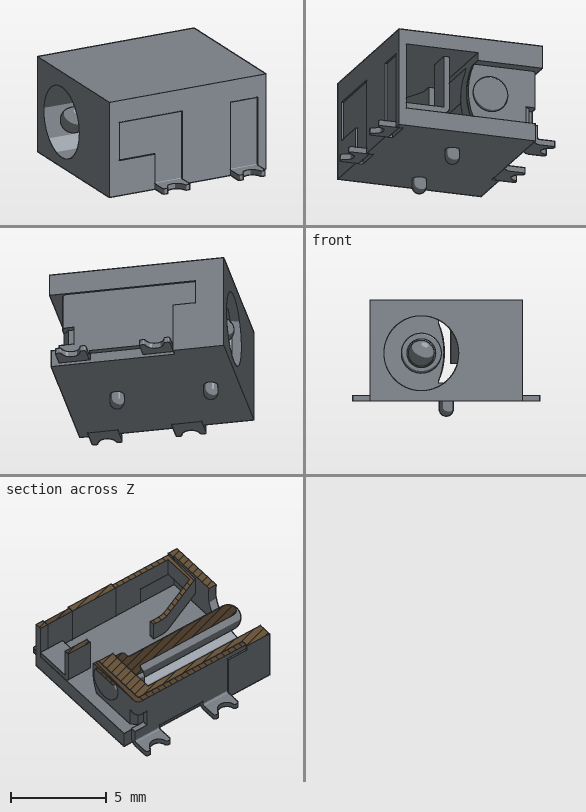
import cadquery as cq
import math

SPAN = 9.8
WIDTH = 8.0
DEPTH = 9.3
HEIGHT = 5.3
HALF = WIDTH / 2

SHEET = 0.3
SETBACK = 0.1
POCKET = SHEET + SETBACK
PLATE_OUT = HALF - SETBACK
PLATE_IN = HALF - POCKET
PROBE = 0.01

BORE_X = -1.3
BORE_Z = 2.51
BORE_RADIUS = 1.96
FRONT_WALL = 0.49
WALL_START = 7.4

FLOOR = 0.96
CEILING = 4.51
ROOF = 4.08
WALL_EDGE_X = -0.4
TONGUE = 0.27

PEG_RADIUS = 0.37
PEG_LENGTH = 0.79
PEG_Y = (1.5, 6.5)

TAB_WIDTH = 1.62
FRONT_TAB_Y = 2.71
REAR_TAB_Y = 7.19
TAB_BITE = 0.5
TAB_ROUND = 0.12
BEND_INNER = 0.09
BEND_OUTER = BEND_INNER + SHEET

SHOULDER_Y = 1.51
SHOULDER_Z = 2.74
BRIDGE_Z = 0.56
REAR_END = REAR_TAB_Y + TAB_WIDTH
ARM_BACK = 8.67
ARM_FRONT = ARM_BACK - SHEET
ARM_BOTTOM = 1.05
ARM_BEND = 0.29
ARM_BULGE = 0.31
CORNER_NOTCH_Y = 8.02
CORNER_NOTCH_TOP = 2.07

PIN_RADIUS = 0.68
PIN_TIP_Y = 0.01
PIN_FLARE = 0.08
COLLAR_RADIUS = 1.05
COLLAR_LENGTH = 0.49
COLLAR_ROUND = 0.15
STEM_RADIUS = 0.49
HEAD_RADIUS = 0.95
HEAD_LENGTH = 0.18
HEAD_ROUND = 0.09

SPRING_BOTTOM = 1.96
SPRING_FRONT = 0.59
SPRING_TURN_X = 1.62
SPRING_TIP_X = 0.24
SPRING_BEND_Y = 3.63
SPRING_TIP_Y = 4.41
SPRING_CURL = 1.57

SWITCH_X = 1.2
SWITCH_START = 7.84
SWITCH_BEND = 0.28


def box(x0, x1, y0, y1, z0, z1):
    """Box between two opposite corners."""
    return cq.Workplane("XY").box(x1 - x0, y1 - y0, z1 - z0, centered=False).translate((x0, y0, z0))


def cylinder_y(radius, y0, y1):
    """Cylinder along Y on the bore axis."""
    plane = cq.Workplane("XZ", origin=(BORE_X, y0, BORE_Z))
    return plane.circle(radius).extrude(y0 - y1)


def bulged_strip(x_left, bulge, y0, y1):
    """Upright strip in an XZ plane whose right end is a shallow arc."""
    middle = (ARM_BOTTOM + ROOF) / 2
    outline = (
        cq.Workplane("XZ", origin=(0, y0, 0))
        .moveTo(x_left, ARM_BOTTOM)
        .lineTo(WALL_EDGE_X, ARM_BOTTOM)
        .threePointArc((WALL_EDGE_X + bulge, middle), (WALL_EDGE_X, ROOF))
        .lineTo(x_left, ROOF)
        .close()
    )
    return outline.extrude(y0 - y1)


def side_leg(y_start, top):
    """Upright leg on the right side, bent outward at the bottom into a forked solder tab."""
    y_end = y_start + TAB_WIDTH
    tip = SPAN / 2
    leg = box(PLATE_IN, PLATE_OUT, y_start, y_end, 0, top)
    tab = box(PLATE_IN, tip, y_start, y_end, 0, SHEET)
    bite = (
        cq.Workplane("XY")
        .center(tip, y_start + TAB_WIDTH / 2)
        .circle(TAB_BITE)
        .extrude(SHEET)
    )
    tab = tab.cut(bite).edges("|Z and >X").fillet(TAB_ROUND)
    leg = leg.union(tab)
    inside = cq.selectors.BoxSelector(
        (PLATE_OUT - PROBE, y_start - PROBE, SHEET - PROBE),
        (PLATE_OUT + PROBE, y_end + PROBE, SHEET + PROBE),
    )
    leg = leg.edges(inside).fillet(BEND_INNER)
    return leg.edges("|Y and <X and <Z").fillet(BEND_OUTER)


def make_housing():
    body = box(-HALF, HALF, 0, DEPTH, 0, HEIGHT)
    body = body.cut(cylinder_y(BORE_RADIUS, 0, WALL_START))
    body = body.cut(make_cavity())
    body = body.cut(box(-PLATE_IN, PLATE_IN, ARM_FRONT, DEPTH, FLOOR, ROOF))

    body = body.cut(cylinder_y(STEM_RADIUS, WALL_START, ARM_FRONT))

    body = body.cut(box(-HALF, -PLATE_IN, SHOULDER_Y, DEPTH, SHOULDER_Z, ROOF))
    body = body.cut(box(-HALF, -PLATE_IN, FRONT_TAB_Y, DEPTH, 0, SHOULDER_Z))

    body = body.cut(box(PLATE_IN, HALF, SPRING_FRONT, FRONT_TAB_Y + TAB_WIDTH, SPRING_BOTTOM, ROOF))
    for y_start in (FRONT_TAB_Y, REAR_TAB_Y):
        body = body.cut(box(PLATE_IN, HALF, y_start, y_start + TAB_WIDTH, 0, ROOF))

    for y in PEG_Y:
        body = body.union(make_peg(y))
    return body


def make_cavity():
    """Room for the right-hand contacts, open to the rear, with the pin wall's tongue left standing."""
    cavity = box(WALL_EDGE_X, PLATE_IN, FRONT_WALL, DEPTH, FLOOR, CEILING)
    return cavity.cut(bulged_strip(-PLATE_IN, TONGUE, WALL_START, ARM_FRONT))


def make_peg(y):
    peg = cq.Workplane("XY").center(0, y).circle(PEG_RADIUS).extrude(-(PEG_LENGTH - PEG_RADIUS))
    dome = cq.Workplane("XY").sphere(PEG_RADIUS).translate((0, y, PEG_RADIUS - PEG_LENGTH))
    return peg.union(dome)


def make_left_terminal():
    outline = cq.Workplane("YZ", origin=(-PLATE_OUT, 0, 0)).polyline([
        (SHOULDER_Y, ROOF),
        (ARM_BACK, ROOF),
        (ARM_BACK, ARM_BOTTOM),
        (REAR_END, ARM_BOTTOM),
        (REAR_END, BRIDGE_Z),
        (FRONT_TAB_Y, BRIDGE_Z),
        (FRONT_TAB_Y, SHOULDER_Z),
        (SHOULDER_Y, SHOULDER_Z),
    ]).close()
    plate = outline.extrude(SHEET)
    arm = bulged_strip(-PLATE_OUT, ARM_BULGE, ARM_FRONT, ARM_BACK)
    body = plate.union(arm)
    bend = cq.selectors.BoxSelector(
        (-PLATE_OUT - PROBE, ARM_BACK - PROBE, ARM_BOTTOM),
        (-PLATE_OUT + PROBE, ARM_BACK + PROBE, ROOF),
    )
    body = body.edges(bend).fillet(ARM_BEND)
    body = body.cut(make_corner_notch())
    body = body.cut(cylinder_y(STEM_RADIUS, ARM_FRONT, ARM_BACK))
    for y_start in (FRONT_TAB_Y, REAR_TAB_Y):
        body = body.union(side_leg(y_start, BRIDGE_Z).mirror("YZ"))
    return body


def make_corner_notch():
    """Window through the arm's bend; its far side is cut at 45 degrees across the arm."""
    return (
        cq.Workplane("XY", origin=(0, 0, ARM_BOTTOM))
        .polyline([
            (-HALF, CORNER_NOTCH_Y),
            (-PLATE_IN, CORNER_NOTCH_Y),
            (-PLATE_IN, ARM_FRONT),
            (-PLATE_IN + SHEET, ARM_BACK),
            (-HALF, ARM_BACK),
        ])
        .close()
        .extrude(CORNER_NOTCH_TOP - ARM_BOTTOM)
    )


def make_pin():
    collar_front = WALL_START - COLLAR_LENGTH
    head_back = ARM_BACK + HEAD_LENGTH
    dome_slant = PIN_RADIUS * math.sqrt(0.5)
    profile = (
        cq.Workplane("XY", origin=(BORE_X, 0, BORE_Z))
        .moveTo(0, PIN_TIP_Y)
        .threePointArc(
            (dome_slant, PIN_TIP_Y + PIN_RADIUS - dome_slant),
            (PIN_RADIUS, PIN_TIP_Y + PIN_RADIUS),
        )
        .lineTo(PIN_RADIUS, collar_front - PIN_FLARE)
        .lineTo(PIN_RADIUS + PIN_FLARE, collar_front)
        .lineTo(COLLAR_RADIUS - COLLAR_ROUND, collar_front)
        .radiusArc((COLLAR_RADIUS, collar_front + COLLAR_ROUND), -COLLAR_ROUND)
        .lineTo(COLLAR_RADIUS, WALL_START)
        .lineTo(STEM_RADIUS, WALL_START)
        .lineTo(STEM_RADIUS, ARM_BACK)
        .lineTo(HEAD_RADIUS, ARM_BACK)
        .lineTo(HEAD_RADIUS, head_back - HEAD_ROUND)
        .radiusArc((HEAD_RADIUS - HEAD_ROUND, head_back), -HEAD_ROUND)
        .lineTo(0, head_back)
        .close()
    )
    return profile.revolve(360, (0, 0, 0), (0, 1, 0))


def make_spring_terminal():
    rail = box(PLATE_IN, PLATE_OUT, SPRING_FRONT, FRONT_TAB_Y + TAB_WIDTH, SPRING_BOTTOM, ROOF)
    strip = (
        cq.Workplane("XY", origin=(0, 0, SPRING_BOTTOM))
        .polyline([
            (PLATE_OUT, SPRING_FRONT),
            (SPRING_TURN_X, SPRING_FRONT),
            (SPRING_TIP_X, SPRING_BEND_Y),
            (SPRING_TIP_X, SPRING_TIP_Y),
            (SPRING_TIP_X + SHEET, SPRING_TIP_Y),
            (SPRING_TIP_X + SHEET, SPRING_BEND_Y),
            (SPRING_TURN_X + SHEET / 2, SPRING_FRONT + SHEET),
            (PLATE_OUT, SPRING_FRONT + SHEET),
        ])
        .close()
        .extrude(ROOF - SPRING_BOTTOM)
    )
    curl = cq.selectors.BoxSelector(
        (SPRING_TIP_X - PROBE, SPRING_BEND_Y - PROBE, SPRING_BOTTOM),
        (SPRING_TIP_X + SHEET + PROBE, SPRING_BEND_Y + PROBE, ROOF),
    )
    strip = strip.edges(curl).fillet(SPRING_CURL)
    return side_leg(FRONT_TAB_Y, ROOF).union(rail).union(strip)


def make_switch_terminal():
    blade = box(SWITCH_X, SWITCH_X + SHEET, SWITCH_START, DEPTH, FLOOR, ROOF)
    foot = box(SWITCH_X, PLATE_IN, SWITCH_START, DEPTH, FLOOR, FLOOR + SHEET)
    angle = blade.union(foot).edges("|Y and <X and <Z").fillet(SWITCH_BEND)
    return side_leg(REAR_TAB_Y, ROOF).union(angle)


housing = make_housing()
left_terminal = make_left_terminal()
pin = make_pin()
spring_terminal = make_spring_terminal()
switch_terminal = make_switch_terminal()

result = cq.Compound.makeCompound([
    housing.val(),
    left_terminal.val(),
    pin.val(),
    spring_terminal.val(),
    switch_terminal.val(),
])